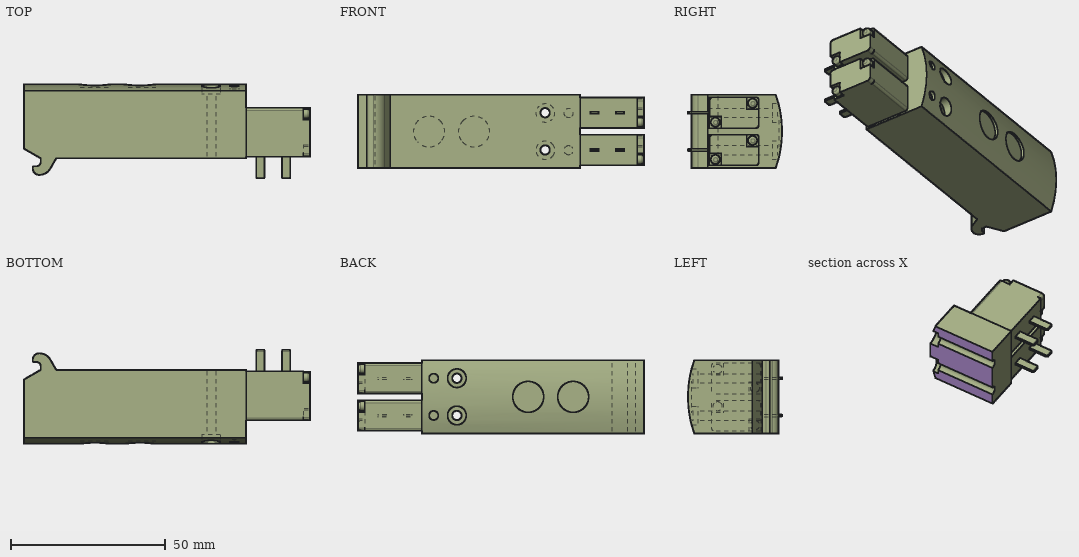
import cadquery as cq
import math

total_length = 92.7
body_length = 71.9
body_width = 23.7
crown_top = 24.0
crown_rise = 2.0

lead_in_height = 3.15
hook_wall_x = 5.5
hook_wall_drop = 1.1
hook_inner_radius = 1.4
hook_tip_x = 2.9
hook_tip_corner = 0.4
hook_bottom = -5.4
hook_bottom_x = 5.0
hook_outer_radius = 4.2
hook_flank_angle = math.radians(60)

station_z = 6.0
station_levels = (-station_z, station_z)

mounting_hole_x = 60.6
mounting_hole_diameter = 3.0
counterbore_diameter = 6.0
counterbore_floor = 20.9
button_positions = (23.0, 37.5)
button_diameter = 10.0
indicator_x = 68.1
indicator_diameter = 3.0
recess_depth = 1.0

coil_bottom = 0.5
coil_top = 16.4
coil_height = 10.0
coil_edge_radius = 0.8
cap_step = 0.1
corner_length = 2.2
corner_radius = 1.1
corner_notch = 3.9
screw_diameter = 3.0
screw_edge_radius = 0.8

blade_positions = (76.6, 84.9)
blade_width = 2.8
blade_thickness = 0.7
blade_end = -6.5
blade_tip_length = 0.5
blade_tip_side_inset = 0.2
blade_tip_face_inset = 0.1

half_width = body_width / 2
corner_start = total_length - corner_length
coil_depth = coil_top - coil_bottom
coil_middle_y = (coil_top + coil_bottom) / 2


def make_body():
    """Body and hook profile extruded over the full width, then trimmed to the crown."""
    hook_inner_y = -hook_wall_drop - hook_inner_radius
    arc_end_x = hook_bottom_x + hook_outer_radius * math.sin(hook_flank_angle)
    arc_end_y = hook_bottom + hook_outer_radius * (1 - math.cos(hook_flank_angle))
    flank_top_x = arc_end_x - arc_end_y / math.tan(hook_flank_angle)
    half_angle = hook_flank_angle / 2
    arc_middle = (
        hook_bottom_x + hook_outer_radius * math.sin(half_angle),
        hook_bottom + hook_outer_radius * (1 - math.cos(half_angle)),
    )
    tip_radius = hook_bottom_x - hook_tip_x
    profile = (
        cq.Workplane("XY", origin=(0, 0, -half_width))
        .moveTo(0, crown_top)
        .lineTo(0, lead_in_height)
        .lineTo(hook_wall_x, 0)
        .lineTo(hook_wall_x, -hook_wall_drop)
        .radiusArc((hook_wall_x - hook_inner_radius, hook_inner_y), hook_inner_radius)
        .lineTo(hook_tip_x + hook_tip_corner, hook_inner_y)
        .radiusArc((hook_tip_x, hook_inner_y - hook_tip_corner), -hook_tip_corner)
        .lineTo(hook_tip_x, hook_bottom + tip_radius)
        .radiusArc((hook_bottom_x, hook_bottom), -tip_radius)
        .threePointArc(arc_middle, (arc_end_x, arc_end_y))
        .lineTo(flank_top_x, 0)
        .lineTo(body_length, 0)
        .lineTo(body_length, crown_top)
        .close()
    )
    crown_edge = crown_top - crown_rise
    crown_envelope = (
        cq.Workplane("YZ")
        .moveTo(hook_bottom, -half_width)
        .lineTo(crown_edge, -half_width)
        .threePointArc((crown_top, 0), (crown_edge, half_width))
        .lineTo(hook_bottom, half_width)
        .close()
        .extrude(body_length)
    )
    return profile.extrude(body_width).intersect(crown_envelope)


def crown_pocket(x, z, diameter, floor):
    """Round cutter along Y from the given floor out through the crown."""
    return (
        cq.Workplane("XZ", origin=(x, floor, z))
        .circle(diameter / 2)
        .extrude(floor - crown_top)
    )


def crown_height(z):
    """Y of the crown surface at height z."""
    radius = (half_width**2 + crown_rise**2) / (2 * crown_rise)
    return crown_top - radius + math.sqrt(radius**2 - z**2)


def notch_centre(side, middle_z):
    """Y and Z of the centre of the square corner notch on the given diagonal side of a coil."""
    y = coil_middle_y + side * (coil_depth - corner_notch) / 2
    z = middle_z + side * (coil_height - corner_notch) / 2
    return y, z


def make_notch(side, middle_z):
    """Square cutter filling one corner of a coil at its free end."""
    return (
        cq.Workplane("YZ", origin=(corner_start, *notch_centre(side, middle_z)))
        .rect(corner_notch, corner_notch)
        .extrude(corner_length)
    )


def make_screw(side, middle_z):
    """Screw head with a rounded rim, centred in its corner notch."""
    return (
        cq.Workplane("YZ", origin=(corner_start, *notch_centre(side, middle_z)))
        .circle(screw_diameter / 2)
        .extrude(corner_length)
        .faces(">X")
        .edges()
        .fillet(screw_edge_radius)
    )


def make_coil(middle_z):
    """Coil with screws in two opposite corners of its end cap and rounding at the other two."""
    winding = (
        cq.Workplane("YZ", origin=(body_length, coil_middle_y, middle_z))
        .rect(coil_depth, coil_height)
        .extrude(corner_start - body_length)
        .edges("|X and >Y")
        .fillet(coil_edge_radius)
    )
    end_cap = (
        cq.Workplane("YZ", origin=(corner_start, coil_middle_y + cap_step / 2, middle_z))
        .rect(coil_depth - cap_step, coil_height)
        .extrude(corner_length)
        .edges("|X")
        .fillet(corner_radius)
    )
    coil = winding.union(end_cap)
    for side in (-1, 1):
        coil = coil.cut(make_notch(side, middle_z))
        coil = coil.union(make_screw(side, middle_z))
    return coil


def make_blade(x, z):
    """Flat contact blade with a tapered tip, pointing in -Y."""
    shank_end = blade_end + blade_tip_length
    shank = (
        cq.Workplane("XZ", origin=(x, coil_bottom, z))
        .rect(blade_width, blade_thickness)
        .extrude(coil_bottom - shank_end)
    )
    tip = (
        cq.Workplane("XZ", origin=(x, shank_end, z))
        .rect(blade_width, blade_thickness)
        .workplane(offset=blade_tip_length)
        .rect(blade_width - 2 * blade_tip_side_inset, blade_thickness - 2 * blade_tip_face_inset)
        .loft()
    )
    return shank.union(tip)


result = make_body()

for x in button_positions:
    result = result.cut(crown_pocket(x, 0, button_diameter, crown_top - recess_depth))

for z in station_levels:
    indicator_floor = crown_height(z) - recess_depth
    result = result.cut(crown_pocket(mounting_hole_x, z, mounting_hole_diameter, 0))
    result = result.cut(crown_pocket(mounting_hole_x, z, counterbore_diameter, counterbore_floor))
    result = result.cut(crown_pocket(indicator_x, z, indicator_diameter, indicator_floor))
    result = result.union(make_coil(z))
    for x in blade_positions:
        result = result.union(make_blade(x, z))